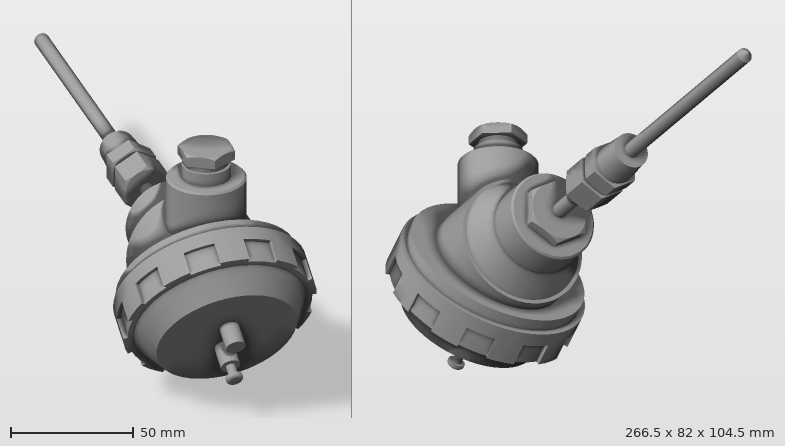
import cadquery as cq
import math


OVERALL_LENGTH = 266.5

ROD_DIA = 6.5
TIP_LENGTH = 3.2

FITTING_START = 104.7
THREAD_LENGTH = 15.0
THREAD_SMALL_DIA = 15.2
THREAD_LARGE_DIA = 17.0
FITTING_HEX_FLATS = 18.6
FITTING_HEX_LENGTH = 8.5
FITTING_NECK_DIA = 14.5
FITTING_NECK_LENGTH = 2.7
FITTING_NUT_LENGTH = 14.5

GLAND_START = 169.2
GLAND_FLATS = 24.5

BODY_START = 174.5
SOCKET_DIA = 38.0
SOCKET_LENGTH = 16.3
SOCKET_CHAMFER = 0.8
CONE_LENGTH = 11.5
CONE_LARGE_DIA = 51.7
BODY_DIA = 55.0

HEAD_X = 224.0
CAP_TILT = math.radians(30)
FLANGE_DIA = 77.0
FLANGE_THICKNESS = 5.3
CAP_DIA = 82.0
CAP_RIM_LENGTH = 16.0
RIM_END = FLANGE_THICKNESS + CAP_RIM_LENGTH
DOME_LARGE_DIA = 73.0
DOME_LENGTH = 10.5
CAP_LENGTH = RIM_END + DOME_LENGTH
DOME_END_X = HEAD_X + CAP_LENGTH * math.cos(CAP_TILT)
DOME_SMALL_DIA = 2 * (OVERALL_LENGTH - DOME_END_X) / math.sin(CAP_TILT)

RECESS_COUNT = 10
RECESS_WIDTH = 13.0
RECESS_LENGTH = 9.9
RECESS_DEPTH = 1.9

POST_DIA = 8.3
POST_OFFSET = 7.0
POST_HEIGHT = 9.9
SCREW_DIA = 4.0
SCREW_LENGTH = 5.0
SCREW_HEAD_DIA = 7.2
SCREW_HEAD_LENGTH = 2.5
SCREW_HEAD_ROUNDING = 1.3

ENTRY_DIA = 33.0
ENTRY_TOP = 45.0
ENTRY_CHAMFER = 0.8
COLLAR_DIA = 20.2
COLLAR_LENGTH = 5.5
NECK_LOWER_DIA = 17.5
NECK_UPPER_DIA = 16.5
NECK_LENGTH = 3.0
PLUG_FLATS = 20.8
PLUG_LENGTH = 4.8

HEX_CHAMFER_SLOPE = math.tan(math.radians(30))


def along_x(start):
    """Workplane facing +X, with local X along Y and local Y along Z."""
    return cq.Workplane("YZ", origin=(start, 0, 0))


def revolved(profile):
    """Turn a profile drawn in XZ about the X axis."""
    return cq.Workplane("XZ").polyline(profile).close().revolve(360, (0, 0), (1, 0))


def chamfered_hex(plane, flats, length, chamfered_end):
    """Hexagonal prism with a corner along the plane's local Y, turned conical at one end.

    The chamfered end is "start" at the plane or "end" at the far face.
    """
    corner_radius = flats / 2 / math.cos(math.radians(30))
    inset = corner_radius - flats / 2
    drop = inset * HEX_CHAMFER_SLOPE
    turned = plane.circle(corner_radius).extrude(length)
    far_side = chamfered_end == "end"
    end_face = cq.selectors.DirectionMinMaxSelector(plane.plane.zDir, far_side)
    turned = turned.faces(end_face).chamfer(drop, inset)
    prism = plane.transformed(rotate=(0, 0, 90)).polygon(6, 2 * corner_radius).extrude(length)
    return prism.intersect(turned)


def make_rod():
    radius = ROD_DIA / 2
    profile = [(0, 0), (TIP_LENGTH, radius), (BODY_START, radius), (BODY_START, 0)]
    return revolved(profile)


def make_fitting():
    hex_start = FITTING_START + THREAD_LENGTH
    neck_start = hex_start + FITTING_HEX_LENGTH
    nut_start = neck_start + FITTING_NECK_LENGTH
    thread = revolved(
        [
            (FITTING_START, 0),
            (FITTING_START, THREAD_SMALL_DIA / 2),
            (hex_start, THREAD_LARGE_DIA / 2),
            (hex_start, 0),
        ]
    )
    hexagon = chamfered_hex(along_x(hex_start), FITTING_HEX_FLATS, FITTING_HEX_LENGTH, "end")
    neck = along_x(neck_start).circle(FITTING_NECK_DIA / 2).extrude(FITTING_NECK_LENGTH)
    nut = chamfered_hex(along_x(nut_start), FITTING_HEX_FLATS, FITTING_NUT_LENGTH, "end")
    return thread.union(hexagon).union(neck).union(nut)


def make_gland():
    return chamfered_hex(along_x(GLAND_START), GLAND_FLATS, BODY_START - GLAND_START, "start")


def cap_plane(depth):
    """Plane across the cap axis: local X along Y, local Y up the slope of the cap."""
    normal = cq.Vector(math.cos(CAP_TILT), 0, -math.sin(CAP_TILT))
    origin = cq.Vector(HEAD_X, 0, 0) + normal * depth
    return cq.Workplane(cq.Plane(origin=origin, xDir=(0, 1, 0), normal=normal))


def make_body():
    cone_start = BODY_START + SOCKET_LENGTH
    body_start = cone_start + CONE_LENGTH
    body_end = HEAD_X + BODY_DIA / 2
    profile = [
        (BODY_START, 0),
        (BODY_START, SOCKET_DIA / 2 - SOCKET_CHAMFER),
        (BODY_START + SOCKET_CHAMFER, SOCKET_DIA / 2),
        (cone_start, SOCKET_DIA / 2),
        (body_start, CONE_LARGE_DIA / 2),
        (body_start, BODY_DIA / 2),
        (body_end, BODY_DIA / 2),
        (body_end, 0),
    ]
    entry = cq.Workplane("XY", origin=(HEAD_X, 0, 0)).circle(ENTRY_DIA / 2).extrude(ENTRY_TOP)
    entry = entry.faces(">Z").chamfer(ENTRY_CHAMFER)
    cutter_size = 2 * BODY_DIA
    beyond_flange = cap_plane(0).circle(cutter_size).extrude(cutter_size)
    return revolved(profile).union(entry).cut(beyond_flange)


def make_cable_plug():
    collar_top = ENTRY_TOP + COLLAR_LENGTH
    neck_top = collar_top + NECK_LENGTH

    def at_height(z):
        return cq.Workplane("XY", origin=(HEAD_X, 0, z))

    collar = at_height(ENTRY_TOP).circle(COLLAR_DIA / 2).extrude(COLLAR_LENGTH)
    neck_taper = math.degrees(math.atan2((NECK_LOWER_DIA - NECK_UPPER_DIA) / 2, NECK_LENGTH))
    neck = at_height(collar_top).circle(NECK_LOWER_DIA / 2).extrude(NECK_LENGTH, taper=neck_taper)
    plug_plane = at_height(neck_top).transformed(rotate=(0, 0, 90))
    plug = chamfered_hex(plug_plane, PLUG_FLATS, PLUG_LENGTH, "end")
    return collar.union(neck).union(plug)


def make_cap():
    flange = cap_plane(0).circle(FLANGE_DIA / 2).extrude(FLANGE_THICKNESS)
    rim = cap_plane(FLANGE_THICKNESS).circle(CAP_DIA / 2).extrude(CAP_RIM_LENGTH)
    dome_taper = math.degrees(math.atan2((DOME_LARGE_DIA - DOME_SMALL_DIA) / 2, DOME_LENGTH))
    dome = cap_plane(RIM_END).circle(DOME_LARGE_DIA / 2).extrude(DOME_LENGTH, taper=dome_taper)

    recess_plane = cap_plane(RIM_END - RECESS_LENGTH)
    recesses = (
        recess_plane.polarArray(CAP_DIA / 2, 0, 360, RECESS_COUNT)
        .rect(CAP_DIA / 2, RECESS_WIDTH)
        .extrude(RECESS_LENGTH)
    )
    floor = recess_plane.circle(CAP_DIA / 2 - RECESS_DEPTH).extrude(RECESS_LENGTH)
    recesses = recesses.cut(floor)
    return flange.union(rim.cut(recesses)).union(dome)


def make_terminals():
    post_end = CAP_LENGTH + POST_HEIGHT
    screw_end = post_end + SCREW_LENGTH

    def pin(depth, side, diameter, length):
        return cap_plane(depth).center(0, side * POST_OFFSET).circle(diameter / 2).extrude(length)

    upper_post = pin(CAP_LENGTH, 1, POST_DIA, POST_HEIGHT)
    lower_post = pin(CAP_LENGTH, -1, POST_DIA, POST_HEIGHT)
    screw = pin(post_end, -1, SCREW_DIA, SCREW_LENGTH)
    screw_head = pin(screw_end, -1, SCREW_HEAD_DIA, SCREW_HEAD_LENGTH)
    screw_head = screw_head.faces(">X").edges().fillet(SCREW_HEAD_ROUNDING)
    return upper_post.union(lower_post).union(screw).union(screw_head)


result = (
    make_body()
    .union(make_cap())
    .union(make_terminals())
    .union(make_cable_plug())
    .union(make_gland())
    .union(make_fitting())
    .union(make_rod())
)